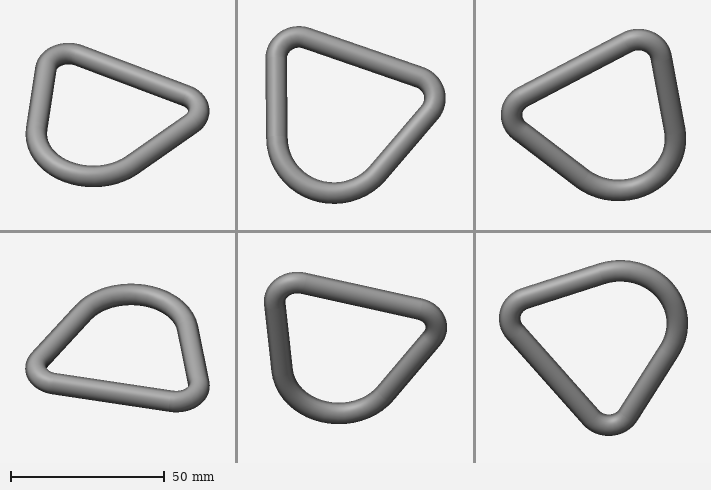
import cadquery as cq
import math

width = 61.0
depth = 54.0
rod_diameter = 7.0
corner_radius = 7.45
nose_radius = 18.55

rod_radius = rod_diameter / 2
corner_x = width / 2 - rod_radius - corner_radius
corner_y = depth - 2 * rod_radius - corner_radius - nose_radius
top_y = corner_y + corner_radius

center_distance = math.hypot(corner_x, corner_y)
tangent_angle = math.atan2(corner_x, corner_y) - math.asin((nose_radius - corner_radius) / center_distance)
corner_mid_angle = (math.pi / 2 - tangent_angle) / 2


def on_bend(center_x, center_y, radius, angle):
    """Point on a bend's axis at an angle from +X."""
    return (center_x + radius * math.cos(angle), center_y + radius * math.sin(angle))


def mirrored(point):
    """Matching point on the -X side."""
    return (-point[0], point[1])


corner_mid = on_bend(corner_x, corner_y, corner_radius, corner_mid_angle)
leg_top = on_bend(corner_x, corner_y, corner_radius, -tangent_angle)
leg_bottom = on_bend(0, 0, nose_radius, -tangent_angle)

ring_axis = (
    cq.Workplane("XY")
    .moveTo(0, top_y)
    .lineTo(corner_x, top_y)
    .threePointArc(corner_mid, leg_top)
    .lineTo(*leg_bottom)
    .threePointArc((0, -nose_radius), mirrored(leg_bottom))
    .lineTo(*mirrored(leg_top))
    .threePointArc(mirrored(corner_mid), (-corner_x, top_y))
    .close()
)

result = cq.Workplane("YZ").center(top_y, 0).circle(rod_radius).sweep(ring_axis)